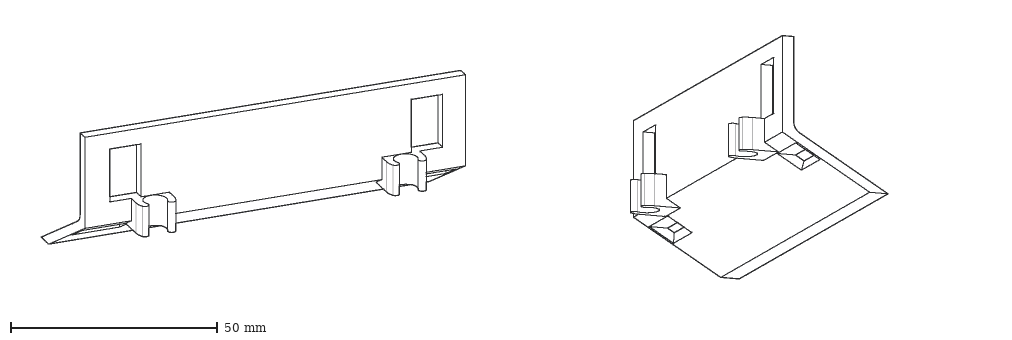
import cadquery as cq
import math

length = 100.0
height = 37.1
wall_thickness = 3.0
apron_reach = 27.5
foot_width = 4.8
apron_angle = 30.0
bend_radius = 3.0
slope = math.tan(math.radians(apron_angle))

window_width = 8.2
window_height = 13.9
window_bottom = 19.0
window_centers = (39.9, -39.3)

slot_length = 12.4
slot_end_gap = 0.9
slot_upper_x = -8.6
slot_lower_exit_x = -10.1
slot_lower_xs = (-10.8, -10.3)

clip_bottom = 11.0
clip_height = 8.0
clip_centers = (33.0, -32.8)
bore_radius = 3.0
clip_radius = 5.0
bore_x = 3.1
lip_x = 5.0


def top_face_z(x):
    return (x + apron_reach) * slope


def underside_z(x):
    return (x + apron_reach - foot_width) * slope


def extrude_along_y(points, start, distance):
    sketch = cq.Workplane("XZ", origin=(0, start + distance, 0))
    return sketch.polyline(points).close().extrude(distance)


def make_plate():
    outline = [
        (-apron_reach, 0),
        (foot_width - apron_reach, 0),
        (0, underside_z(0)),
        (0, height),
        (-wall_thickness, height),
        (-wall_thickness, top_face_z(-wall_thickness)),
    ]
    plate = extrude_along_y(outline, -length / 2, length)
    inner_bend = cq.NearestToPointSelector((-wall_thickness, 0, top_face_z(-wall_thickness)))
    return plate.edges("|Y").edges(inner_bend).fillet(bend_radius)


def make_window(center_y):
    center_z = window_bottom + window_height / 2
    window = cq.Workplane("XY").box(2 * wall_thickness, window_width, window_height)
    return window.translate((-wall_thickness / 2, center_y, center_z))


def make_slot(start_y, lower_x):
    upper_z = top_face_z(slot_upper_x)
    outline = [
        (lower_x, top_face_z(lower_x)),
        (slot_lower_exit_x, underside_z(slot_lower_exit_x)),
        (slot_upper_x + foot_width, upper_z),
        (slot_upper_x, upper_z),
    ]
    return extrude_along_y(outline, start_y, slot_length)


def make_clip(center_y):
    mean_radius = (bore_radius + clip_radius) / 2
    lip_radius = (clip_radius - bore_radius) / 2
    lip_angle = math.acos((lip_x - bore_x) / mean_radius)

    def ring_point(radius, angle):
        return bore_x + radius * math.cos(angle), radius * math.sin(angle)

    upper_mid_angle = (math.pi / 2 + lip_angle) / 2
    lip_tip = (
        lip_x + lip_radius * math.sin(lip_angle),
        mean_radius * math.sin(lip_angle) - lip_radius * math.cos(lip_angle),
    )
    root_x = -apron_reach / 2
    clip = (
        cq.Workplane("XY", origin=(0, center_y, clip_bottom))
        .moveTo(root_x, clip_radius)
        .lineTo(bore_x, clip_radius)
        .threePointArc(ring_point(clip_radius, upper_mid_angle), ring_point(clip_radius, lip_angle))
        .threePointArc(lip_tip, ring_point(bore_radius, lip_angle))
        .threePointArc((bore_x - bore_radius, 0), ring_point(bore_radius, -lip_angle))
        .threePointArc((lip_tip[0], -lip_tip[1]), ring_point(clip_radius, -lip_angle))
        .threePointArc(ring_point(clip_radius, -upper_mid_angle), (bore_x, -clip_radius))
        .lineTo(root_x, -clip_radius)
        .close()
        .extrude(clip_height)
    )
    behind_plate = [
        (root_x, underside_z(root_x)),
        (0, underside_z(0)),
        (0, height),
        (apron_reach, height),
        (apron_reach, underside_z(root_x)),
    ]
    return clip.intersect(extrude_along_y(behind_plate, -length / 2, length))


result = make_plate()
for clip_center in clip_centers:
    result = result.union(make_clip(clip_center))
for window_center in window_centers:
    result = result.cut(make_window(window_center))

slot_starts = (length / 2 - slot_end_gap - slot_length, slot_end_gap - length / 2)
for slot_start, slot_lower_x in zip(slot_starts, slot_lower_xs):
    result = result.cut(make_slot(slot_start, slot_lower_x))